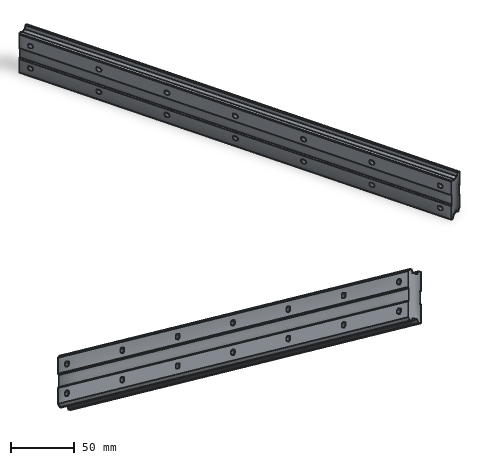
import cadquery as cq

length = 380.0

waist_thickness = 13.0
relief_depth = 1.03
relief_opening = 11.8
depth = waist_thickness + 2 * relief_depth

floor_to_floor = 37.0
channel_depth = 2.6
height = floor_to_floor + 2 * channel_depth
front_lip_width = 3.0
front_wall_run = 1.33
back_wall_run = 1.5
back_lip_width = 1.7
back_chamfer = 2.3
front_chamfer = 0.57

hole_diameter = 4.5
hole_count = 7
hole_pitch = 60.0
row_spacing = 24.0


def upper_half_outline():
    """(Y, Z) points of the section above mid-height, from the front face round to the back face."""
    front = -depth / 2
    back = depth / 2
    top = height / 2
    floor = top - channel_depth
    relief_edge = relief_opening / 2
    relief_foot = relief_edge - relief_depth
    front_lip_end = front + front_lip_width
    back_lip_end = back - back_chamfer
    back_lip_start = back_lip_end - back_lip_width
    return [
        (front + relief_depth, relief_foot),
        (front, relief_edge),
        (front, top - front_chamfer),
        (front + front_chamfer, top),
        (front_lip_end, top),
        (front_lip_end + front_wall_run, floor),
        (back_lip_start - back_wall_run, floor),
        (back_lip_start, top),
        (back_lip_end, top),
        (back, top - back_chamfer),
        (back, relief_edge),
        (back - relief_depth, relief_foot),
    ]


def rail_body():
    """The section, mirrored about mid-height, extruded along X and centred on the origin."""
    upper = upper_half_outline()
    lower = [(y, -z) for y, z in reversed(upper)]
    section = cq.Workplane("YZ").polyline(upper + lower).close()
    return section.extrude(length / 2, both=True)


def mounting_holes():
    """Cylinders through the full depth, in two rows centred on the rail."""
    holes = cq.Workplane("XZ").rarray(hole_pitch, row_spacing, hole_count, 2)
    return holes.circle(hole_diameter / 2).extrude(depth, both=True)


result = rail_body().cut(mounting_holes())